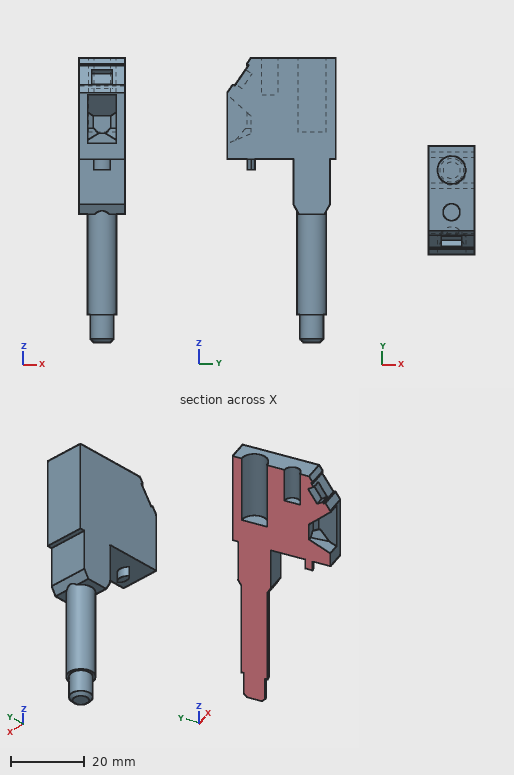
import cadquery as cq
import math


WIDTH = 12.5
HOUSING_DEPTH = 29.5
HOUSING_HEIGHT = 27.5
BACK_Y = 6.55
FRONT_Y = BACK_Y - HOUSING_DEPTH
SLOPE_RUN = 6.4
SLOPE_DROP = 9.4

RECESS_START = 1.95
RECESS_END = 8.8
RECESS_DEPTH = 0.6
LIP_FACE = 0.45
LIP_LEDGE = 0.45
LABEL_WIDTH = 5.5
LABEL_START = 3.4
LABEL_END = 8.2
LABEL_DEPTH = 2.0

SCREW_HOLE_DIAMETER = 7.6
SCREW_HOLE_DEPTH = 20.0
TEST_HOLE_DIAMETER = 4.6
TEST_HOLE_DEPTH = 10.0
TEST_HOLE_Y = BACK_Y - 18.0

ENTRY_WIDTH = 7.7
ENTRY_BOTTOM = 4.3
ENTRY_TOP = 17.55
ENTRY_DEPTH = 6.4
ROOF_DROP = 5.8
FLOOR_RISE = 2.7
BACK_WALL_WIDTH = 4.8
TAPER_DEPTH = 1.1
GUIDE_START = 2.2
GUIDE_HEIGHT = 4.1
GUIDE_GAP = 1.9
GUIDE_STEEPNESS = 1.1

NECK_DEPTH = 10.0
NECK_HEIGHT = 14.9
NECK_CHAMFER_RUN = 1.5
NECK_CHAMFER_RISE = 2.6
PIN_DIAMETER = 8.0
PIN_LENGTH = 49.8
TIP_DIAMETER = 6.5
TIP_LENGTH = 7.6
PIN_SHOULDER_Z = TIP_LENGTH - PIN_LENGTH
TIP_CHAMFER = 1.0

PEG_WIDTH = 4.6
PEG_THICKNESS = 2.2
PEG_LENGTH = 2.9
PEG_Y = BACK_Y - 23.0


def extrude_across(points, width):
    """Extrude a (y, z) outline symmetrically about the plane X = 0."""
    return cq.Workplane("YZ").polyline(points).close().extrude(width / 2, both=True)


def slope_point(along, depth):
    """(y, z) of a point down the sloping face and below its surface."""
    length = math.hypot(SLOPE_RUN, SLOPE_DROP)
    forward = SLOPE_RUN / length
    down = SLOPE_DROP / length
    y = FRONT_Y + SLOPE_RUN - along * forward + depth * down
    z = HOUSING_HEIGHT - along * down - depth * forward
    return (y, z)


def make_housing():
    upper_lip_y, upper_lip_z = slope_point(RECESS_START, 0)
    lower_lip_y, lower_lip_z = slope_point(RECESS_END, 0)
    outline = [
        (BACK_Y, 0),
        (BACK_Y, HOUSING_HEIGHT),
        slope_point(0, 0),
        (upper_lip_y, upper_lip_z),
        (upper_lip_y, upper_lip_z - LIP_FACE),
        slope_point(RECESS_START, RECESS_DEPTH),
        slope_point(RECESS_END, RECESS_DEPTH),
        (lower_lip_y + LIP_LEDGE, lower_lip_z),
        (lower_lip_y, lower_lip_z),
        (FRONT_Y, HOUSING_HEIGHT - SLOPE_DROP),
        (FRONT_Y, 0),
    ]
    return extrude_across(outline, WIDTH)


def make_label_window():
    bottom = RECESS_DEPTH + LABEL_DEPTH
    outline = [
        slope_point(LABEL_START, 0),
        slope_point(LABEL_END, 0),
        slope_point(LABEL_END, bottom),
        slope_point(LABEL_START, bottom),
    ]
    return extrude_across(outline, LABEL_WIDTH)


def make_top_hole(y, diameter, depth):
    top = cq.Workplane("XY", origin=(0, y, HOUSING_HEIGHT))
    return top.circle(diameter / 2).extrude(-depth)


def make_polyhedron(faces):
    """Solid bounded by flat faces, each given as a list of corner points."""
    shells = [cq.Face.makeFromWires(cq.Wire.makePolygon(face, close=True)) for face in faces]
    return cq.Workplane(cq.Solid.makeSolid(cq.Shell.makeShell(shells)))


def make_corner_guide():
    """Wedge in the lower +X corner of the wire entry, leading a wire to the middle."""
    side_x = ENTRY_WIDTH / 2
    back_y = FRONT_Y + ENTRY_DEPTH
    top_z = ENTRY_BOTTOM + GUIDE_HEIGHT
    back_floor_z = ENTRY_BOTTOM + FLOOR_RISE
    floor_inner_x = GUIDE_GAP / 2
    peak_z = back_floor_z + GUIDE_STEEPNESS * (side_x - floor_inner_x)
    start_z = ENTRY_BOTTOM + FLOOR_RISE * GUIDE_START / ENTRY_DEPTH
    start = cq.Vector(side_x, FRONT_Y + GUIDE_START, start_z)
    floor_inner = cq.Vector(floor_inner_x, back_y, back_floor_z)
    floor_corner = cq.Vector(side_x, back_y, back_floor_z)
    peak = cq.Vector(side_x, back_y, peak_z)
    wedge = make_polyhedron([
        [start, floor_inner, floor_corner],
        [start, floor_corner, peak],
        [start, peak, floor_inner],
        [floor_inner, peak, floor_corner],
    ])
    below_top = cq.Workplane("XY").rect(WIDTH, 2 * HOUSING_DEPTH).extrude(top_z)
    return wedge.intersect(below_top)


def make_wire_entry():
    back_y = FRONT_Y + ENTRY_DEPTH
    taper_y = back_y - TAPER_DEPTH
    side_profile = extrude_across(
        [
            (FRONT_Y, ENTRY_BOTTOM),
            (FRONT_Y, ENTRY_TOP),
            (back_y, ENTRY_TOP - ROOF_DROP),
            (back_y, ENTRY_BOTTOM + FLOOR_RISE),
        ],
        ENTRY_WIDTH,
    )
    plan = (
        cq.Workplane("XY")
        .polyline([
            (-ENTRY_WIDTH / 2, FRONT_Y),
            (ENTRY_WIDTH / 2, FRONT_Y),
            (ENTRY_WIDTH / 2, taper_y),
            (BACK_WALL_WIDTH / 2, back_y),
            (-BACK_WALL_WIDTH / 2, back_y),
            (-ENTRY_WIDTH / 2, taper_y),
        ])
        .close()
        .extrude(HOUSING_HEIGHT)
    )
    guide = make_corner_guide()
    return side_profile.intersect(plan).cut(guide).cut(guide.mirror("YZ"))


def make_neck():
    half = NECK_DEPTH / 2
    tip_half = half - NECK_CHAMFER_RUN
    chamfer_z = NECK_CHAMFER_RISE - NECK_HEIGHT
    outline = [
        (-half, 0),
        (-half, chamfer_z),
        (-tip_half, -NECK_HEIGHT),
        (tip_half, -NECK_HEIGHT),
        (half, chamfer_z),
        (half, 0),
    ]
    return extrude_across(outline, WIDTH)


def make_pin():
    shank = cq.Workplane("XY").circle(PIN_DIAMETER / 2).extrude(PIN_SHOULDER_Z)
    tip = (
        cq.Workplane("XY", origin=(0, 0, PIN_SHOULDER_Z))
        .circle(TIP_DIAMETER / 2)
        .extrude(-TIP_LENGTH)
        .faces("<Z")
        .chamfer(TIP_CHAMFER)
    )
    return shank.union(tip)


def make_peg():
    return (
        cq.Workplane("XY", origin=(0, PEG_Y, 0))
        .moveTo(-PEG_WIDTH / 2, 0)
        .threePointArc((0, PEG_THICKNESS / 2), (PEG_WIDTH / 2, 0))
        .threePointArc((0, -PEG_THICKNESS / 2), (-PEG_WIDTH / 2, 0))
        .close()
        .extrude(-PEG_LENGTH)
    )


outer_form = make_housing().union(make_neck()).union(make_pin()).union(make_peg())
result = (
    outer_form
    .cut(make_label_window())
    .cut(make_top_hole(0, SCREW_HOLE_DIAMETER, SCREW_HOLE_DEPTH))
    .cut(make_top_hole(TEST_HOLE_Y, TEST_HOLE_DIAMETER, TEST_HOLE_DEPTH))
    .cut(make_wire_entry())
)